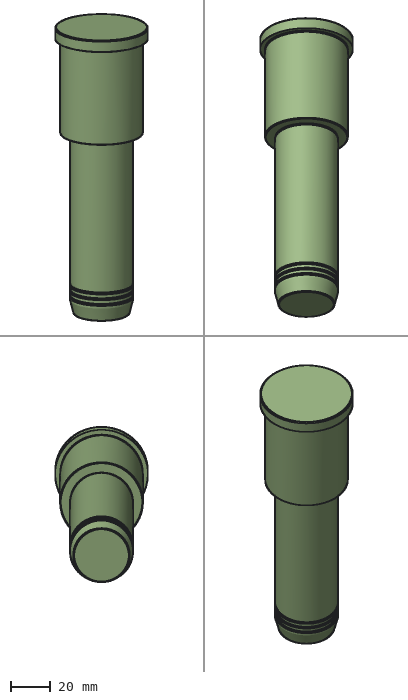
import cadquery as cq

total_length = 151.0
flange_radius = 47.0 / 2
flange_height = 6.0
flange_chamfer = 0.6
body_radius = 42.0 / 2
body_height = 50.0
body_chamfer = 0.5
shank_radius = 32.0 / 2

relief_height = 0.9
relief_depth = 0.3

tip_radius = 14.2
tip_height = 7.2
tip_chamfer = 0.5

groove_count = 3
groove_width = 1.2
groove_depth = 0.3
groove_pitch = 3.0
lowest_groove_z = 9.2

flange_bottom = total_length - flange_height
body_bottom = flange_bottom - body_height


def cylinder(radius, bottom, top):
    """Solid round bar on the Z axis between two heights."""
    return cq.Workplane("XY").workplane(offset=bottom).circle(radius).extrude(top - bottom)


def groove(surface_radius, depth, bottom, width):
    """Ring-shaped cutter with 45 degree flanks; width is measured at the round surface."""
    floor_radius = surface_radius - depth
    return (
        cq.Workplane("XZ")
        .polyline([
            (surface_radius, bottom),
            (surface_radius, bottom + width),
            (floor_radius, bottom + width - depth),
            (floor_radius, bottom + depth),
        ])
        .close()
        .revolve(360, (0, 0, 0), (0, 1, 0))
    )


lead_in = (
    cq.Workplane("XZ")
    .polyline([(0, 0), (tip_radius, 0), (shank_radius, tip_height), (0, tip_height)])
    .close()
    .revolve(360, (0, 0, 0), (0, 1, 0))
    .faces("<Z")
    .chamfer(tip_chamfer)
)
shank_top = body_bottom - relief_height
neck = cylinder(shank_radius - relief_depth, shank_top, body_bottom)
shank = cylinder(shank_radius, tip_height, shank_top).union(lead_in).union(neck)
for index in range(groove_count):
    groove_bottom = lowest_groove_z + index * groove_pitch - groove_width / 2
    shank = shank.cut(groove(shank_radius, groove_depth, groove_bottom, groove_width))

body = cylinder(body_radius, body_bottom, flange_bottom).faces("<Z").chamfer(body_chamfer)
body = body.cut(groove(body_radius, relief_depth, flange_bottom - relief_height, relief_height))

flange = cylinder(flange_radius, flange_bottom, total_length).faces(">Z").chamfer(flange_chamfer)

result = shank.union(body).union(flange)